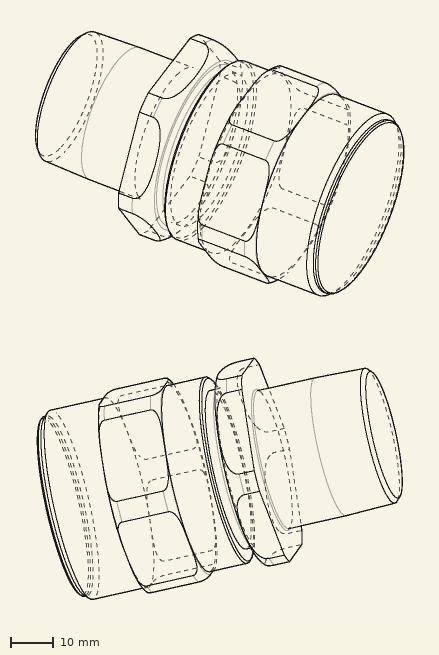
import cadquery as cq
import math


HEX_ACROSS_FLATS = 46.0
HEX_ACROSS_CORNERS = 50.4

SPIGOT_DIAMETER = 33.4
SPIGOT_END_CHAMFER = 1.0
TAPER_RATE = 1 / 16
TAPER_END_X = 13.1
SPIGOT_ROOT_RADIUS = 0.4
LOCK_HEX_X = 27.6
LOCK_HEX_LENGTH = 7.6
LOCK_HEX_ROUNDING = 3.9
NECK_DIAMETER = 38.4
NECK_ROOT_RADIUS = 1.1

COLLAR_X = 38.3
COLLAR_DIAMETER = 45.1
COLLAR_CHAMFER = 0.5
WRENCH_HEX_X = 48.1
WRENCH_HEX_LENGTH = 15.3
WRENCH_HEX_ROUNDING = 2.0
SLEEVE_DIAMETER = 45.85

RING_X = 78.0
RING_DIAMETER = 43.55
RING_CHAMFER = 0.4

TOTAL_LENGTH = 79.05


def rod(diameter, start_x, length):
    """Cylinder on the X axis."""
    return cq.Workplane("YZ").workplane(offset=start_x).circle(diameter / 2).extrude(length)


def rounded_hex(start_x, length, rounded_ends, rounding):
    """Hex prism with flats facing +Z and -Z; its corners are turned down and rounded at the chosen ends."""
    sharp_corners = HEX_ACROSS_FLATS / math.cos(math.pi / 6)
    prism = cq.Workplane("YZ").workplane(offset=start_x).polygon(6, sharp_corners).extrude(length)
    turned_blank = rod(HEX_ACROSS_CORNERS, start_x, length).faces(rounded_ends).edges().fillet(rounding)
    return prism.intersect(turned_blank)


def revolve_about_x(profile):
    return profile.close().revolve(360, (0, 0, 0), (1, 0, 0))


def make_spigot():
    outer_radius = SPIGOT_DIAMETER / 2
    taper_start_radius = outer_radius - (TAPER_END_X - SPIGOT_END_CHAMFER) * TAPER_RATE / 2
    return revolve_about_x(
        cq.Workplane("XY")
        .moveTo(0, 0)
        .lineTo(0, taper_start_radius - SPIGOT_END_CHAMFER)
        .lineTo(SPIGOT_END_CHAMFER, taper_start_radius)
        .lineTo(TAPER_END_X, outer_radius)
        .lineTo(LOCK_HEX_X - SPIGOT_ROOT_RADIUS, outer_radius)
        .radiusArc((LOCK_HEX_X, outer_radius + SPIGOT_ROOT_RADIUS), -SPIGOT_ROOT_RADIUS)
        .lineTo(LOCK_HEX_X, 0)
    )


def make_neck():
    start_x = LOCK_HEX_X + LOCK_HEX_LENGTH
    outer_radius = NECK_DIAMETER / 2
    return revolve_about_x(
        cq.Workplane("XY")
        .moveTo(start_x, 0)
        .lineTo(start_x, outer_radius + NECK_ROOT_RADIUS)
        .radiusArc((start_x + NECK_ROOT_RADIUS, outer_radius), -NECK_ROOT_RADIUS)
        .lineTo(COLLAR_X, outer_radius)
        .lineTo(COLLAR_X, 0)
    )


def make_entry_body():
    lock_hex = rounded_hex(LOCK_HEX_X, LOCK_HEX_LENGTH, ">X", LOCK_HEX_ROUNDING)
    return make_spigot().union(lock_hex).union(make_neck())


def make_gland_nut():
    collar = rod(COLLAR_DIAMETER, COLLAR_X, WRENCH_HEX_X - COLLAR_X)
    collar = collar.faces("<X").edges().chamfer(COLLAR_CHAMFER)

    wrench_hex = rounded_hex(WRENCH_HEX_X, WRENCH_HEX_LENGTH, "<X or >X", WRENCH_HEX_ROUNDING)

    sleeve_x = WRENCH_HEX_X + WRENCH_HEX_LENGTH
    sleeve_chamfer = (SLEEVE_DIAMETER - RING_DIAMETER) / 2
    sleeve = rod(SLEEVE_DIAMETER, sleeve_x, RING_X - sleeve_x)
    sleeve = sleeve.faces(">X").edges().chamfer(sleeve_chamfer)

    return collar.union(wrench_hex).union(sleeve)


def make_end_ring():
    ring = rod(RING_DIAMETER, RING_X, TOTAL_LENGTH - RING_X)
    return ring.faces(">X").edges().chamfer(RING_CHAMFER)


entry_body = make_entry_body()
gland_nut = make_gland_nut()
end_ring = make_end_ring()

result = cq.Compound.makeCompound(
    [entry_body.solids().val(), gland_nut.solids().val(), end_ring.solids().val()]
)